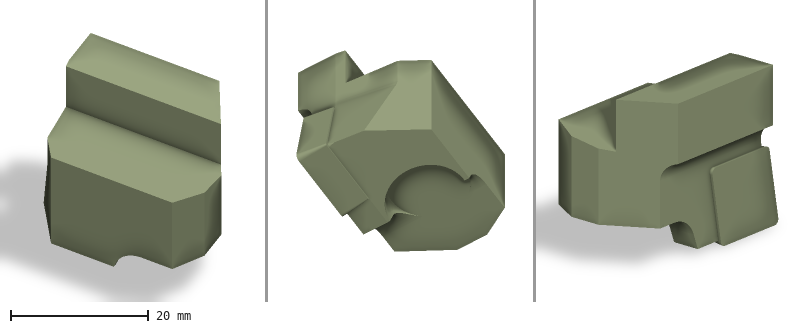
import cadquery as cq
import math


depth = 20.08
height = 26.0
front_bottom_z = 2.6
front_top_z = 19.65
step_y = 12.13
step_z = 17.95
seat_y = 13.62
seat_bottom_z = 0.88
chip_wall_y = 17.75
chip_groove_radius = 2.758
chip_groove_z = 13.9

length = 30.47
back_right_x = 24.55
right_back_y = 9.87
right_front_y = 4.75
front_right_x = 27.73
front_left_x = 7.68
nose_chamfer_angle = 35.0

flank_x = 3.25
flank_lean = 10.0
flank_clearance = 9.5
flank_bend_top_z = 14.15
flank_bend_radius = 4.72
nose_radius = 0.45

notch_radius = 4.63
notch_center_x = 22.7
notch_top_z = 6.45
notch_wall_lean = 20.0

recess_radius = 6.25
recess_x = 17.82
recess_y = 7.0

insert_height = 12.7
insert_angle = 80.0
insert_corner_radius = 0.8
insert_face_y = 18.35
insert_clearance = 7.0

margin = 6.1


def tangent(degrees):
    return math.tan(math.radians(degrees))


def cosine(degrees):
    return math.cos(math.radians(degrees))


def sine(degrees):
    return math.sin(math.radians(degrees))


def make_cross_section_prism():
    """Stepped holder section with the round chip groove, run along X."""
    groove_y = chip_wall_y + chip_groove_radius
    groove_end_z = chip_groove_z + math.sqrt(chip_groove_radius**2 - (groove_y - depth) ** 2)
    groove_mid = (
        groove_y - chip_groove_radius * cosine(45),
        chip_groove_z + chip_groove_radius * sine(45),
    )
    return (
        cq.Workplane("YZ")
        .moveTo(0, front_bottom_z)
        .lineTo(seat_y, seat_bottom_z)
        .lineTo(chip_wall_y, seat_bottom_z)
        .lineTo(chip_wall_y, chip_groove_z)
        .threePointArc(groove_mid, (depth, groove_end_z))
        .lineTo(depth, height)
        .lineTo(step_y, height)
        .lineTo(step_y, step_z)
        .lineTo(0, front_top_z)
        .close()
        .extrude(length)
    )


def make_plan_prism():
    """Plan outline with the angled ends; its left side stays clear of the flank."""
    chamfer_end_y = front_left_x / tangent(nose_chamfer_angle)
    return (
        cq.Workplane("XY")
        .polyline(
            [
                (0, depth),
                (back_right_x, depth),
                (length, right_back_y),
                (length, right_front_y),
                (front_right_x, 0),
                (front_left_x, 0),
                (0, chamfer_end_y),
            ]
        )
        .close()
        .extrude(height)
    )


bend_center_x = flank_x - flank_bend_radius
bend_end_x = bend_center_x + flank_bend_radius * cosine(flank_lean)
bend_end_z = flank_bend_top_z - flank_bend_radius * sine(flank_lean)


def leaning_flank_x(z):
    return bend_end_x - (bend_end_z - z) * tangent(flank_lean)


def make_flank_envelope():
    """Everything to the right of the left flank, straight behind the seat plane and oblique before it."""
    bend_mid = (
        bend_center_x + flank_bend_radius * cosine(flank_lean / 2),
        flank_bend_top_z - flank_bend_radius * sine(flank_lean / 2),
    )
    right_x = length + margin
    profile = (
        cq.Workplane("XZ", origin=(0, seat_y, 0))
        .moveTo(flank_x, height)
        .lineTo(flank_x, flank_bend_top_z)
        .threePointArc(bend_mid, (bend_end_x, bend_end_z))
        .lineTo(leaning_flank_x(0), 0)
        .lineTo(right_x, 0)
        .lineTo(right_x, height)
        .close()
        .wire()
        .val()
    )
    forward = cq.Vector(seat_y * tangent(flank_clearance), -seat_y, 0)
    backward = cq.Vector(0, depth - seat_y, 0)
    front_part = cq.Workplane(cq.Solid.extrudeLinear(profile, [], forward))
    back_part = cq.Workplane(cq.Solid.extrudeLinear(profile, [], backward))
    return front_part.union(back_part)


def make_nose_rounding():
    """Sliver outside a Y-parallel cylinder at the lower left nose of the holder."""
    corner_x = leaning_flank_x(seat_bottom_z)
    half_angle = (90 - flank_lean) / 2
    reach = nose_radius / tangent(half_angle)
    center_x = corner_x + reach
    center_z = seat_bottom_z + nose_radius
    arc_mid = (
        center_x - nose_radius * cosine(half_angle),
        center_z - nose_radius * sine(half_angle),
    )
    return (
        cq.Workplane("XZ", origin=(0, seat_y, 0))
        .moveTo(corner_x, seat_bottom_z)
        .lineTo(corner_x + reach, seat_bottom_z)
        .threePointArc(
            arc_mid,
            (corner_x + reach * sine(flank_lean), seat_bottom_z + reach * cosine(flank_lean)),
        )
        .close()
        .extrude(seat_y)
    )


def make_notch():
    """Notch with a leaning wall blending into a flat ceiling, through the full depth."""
    center_z = notch_top_z - notch_radius
    wall_top_x = notch_center_x - notch_radius * cosine(notch_wall_lean)
    wall_top_z = center_z + notch_radius * sine(notch_wall_lean)
    mid_angle = (90 + notch_wall_lean) / 2
    arc_mid = (
        notch_center_x - notch_radius * cosine(mid_angle),
        center_z + notch_radius * sine(mid_angle),
    )
    right_x = length + margin
    return (
        cq.Workplane("XZ", origin=(0, depth, 0))
        .moveTo(wall_top_x - wall_top_z * tangent(notch_wall_lean), 0)
        .lineTo(wall_top_x, wall_top_z)
        .threePointArc(arc_mid, (notch_center_x, notch_top_z))
        .lineTo(right_x, notch_top_z)
        .lineTo(right_x, 0)
        .close()
        .extrude(depth)
    )


def make_recess():
    """Vertical round recess reaching up to the level of the notch ceiling."""
    return cq.Workplane("XY").center(recess_x, recess_y).circle(recess_radius).extrude(notch_top_z)


def make_insert():
    """Rhombic insert with rounded corners, narrowing from its cutting face to its seat."""
    side = insert_height / sine(insert_angle)
    corner_x = insert_corner_radius - insert_corner_radius / tangent(insert_angle / 2)
    top_shift = insert_height / tangent(insert_angle)
    outline = (
        cq.Sketch()
        .polygon(
            [
                (corner_x, 0),
                (corner_x + side, 0),
                (corner_x + side + top_shift, insert_height),
                (corner_x + top_shift, insert_height),
                (corner_x, 0),
            ]
        )
        .vertices()
        .fillet(insert_corner_radius)
    )
    return (
        cq.Workplane("XZ", origin=(0, insert_face_y, 0))
        .placeSketch(outline)
        .extrude(insert_face_y - seat_y, taper=insert_clearance)
    )


def make_holder(insert):
    """Holder body with a pocket matching the insert."""
    blank = make_cross_section_prism().intersect(make_plan_prism()).intersect(make_flank_envelope())
    return blank.cut(make_nose_rounding()).cut(make_notch()).cut(make_recess()).cut(insert)


cutting_insert = make_insert()
holder = make_holder(cutting_insert)

result = cq.Compound.makeCompound([*holder.vals(), cutting_insert.val()])